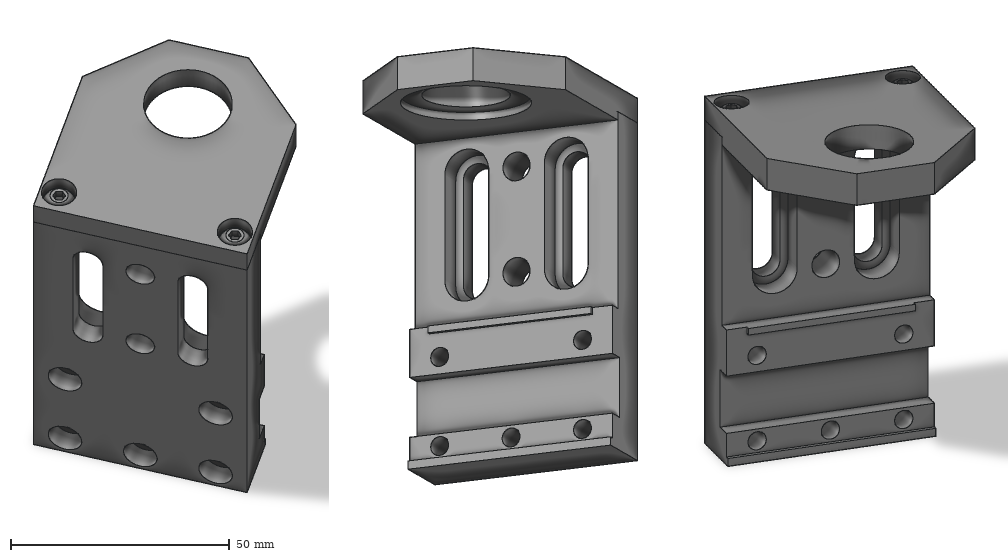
import cadquery as cq
import math

width = 51.0
plate_length = 56.0
height = 86.0

plate_thickness = 7.8
seat_thickness = 5.85
corner_chamfer = 16.0
bore_diameter = 20.3
bore_y = 39.0
bore_rim_thickness = 6.0
underside_recess_diameter = 30.0

wall_thickness = 11.0
wall_height = height - seat_thickness
pad_y = 14.0
lip_y = 15.0
channel_y = 10.0
bottom_lip_top = 2.0
channel_bottom = 7.8
channel_top = 22.0
pad_top = 33.45
top_lip_height = 1.6
top_lip_inset = 5.0

slot_width = 7.1
slot_relief_width = 11.0
slot_front_depth = 5.0
lower_hole_z = 45.0
upper_hole_z = 70.0
slot_x = (upper_hole_z - lower_hole_z) / 2
centre_hole_diameter = 6.8

mount_x = 18.0
mount_lower_z = 4.9
mount_upper_z = 26.1
mount_hole_diameter = 4.5
mount_bore_diameter = 8.0
mount_bore_depth = 5.0
mount_points = [
    (-mount_x, mount_lower_z),
    (0, mount_lower_z),
    (mount_x, mount_lower_z),
    (-mount_x, mount_upper_z),
    (mount_x, mount_upper_z),
]

screw_x = 21.0
screw_y = wall_thickness / 2
screw_points = [(-screw_x, screw_y), (screw_x, screw_y)]
shank_diameter = 4.0
shank_length = 12.0
head_diameter = 7.6
head_height = 2.2
head_top_diameter = 4.1
head_recess_diameter = 8.0
head_recess_depth = 3.4
head_seat_z = height - head_recess_depth
socket_across_flats = 2.5
socket_depth = 1.9
socket_angle = 15.0


def cut_from_front(points, diameter, depth):
    """Round cutters that run from the front face toward +Y."""
    return cq.Workplane("XZ").pushPoints(points).circle(diameter / 2).extrude(-depth)


def screw_holes():
    """Blind holes that the screw shanks fill."""
    return (
        cq.Workplane("XY", origin=(0, 0, head_seat_z))
        .pushPoints(screw_points)
        .circle(shank_diameter / 2)
        .extrude(-shank_length)
    )


def slot_cutter(x, cutter_width, start_y, end_y):
    """Vertical round-ended slot whose end arcs are centred on the two hole heights."""
    centre_distance = upper_hole_z - lower_hole_z
    return (
        cq.Workplane("XZ", origin=(x, start_y, (upper_hole_z + lower_hole_z) / 2))
        .slot2D(centre_distance + cutter_width, cutter_width, 90)
        .extrude(start_y - end_y)
    )


def make_plate():
    """Top plate with clipped rear corners, a bore that is wider at the underside, and screw recesses."""
    plate = (
        cq.Workplane("XY", origin=(0, 0, height - plate_thickness))
        .rect(width, plate_length)
        .extrude(plate_thickness)
        .translate((0, plate_length / 2, 0))
        .edges("|Z and >Y")
        .chamfer(corner_chamfer)
    )
    rabbet = cq.Workplane("XY").box(width, wall_thickness, wall_height, centered=(True, False, False))
    bore = cq.Workplane("XY").center(0, bore_y).circle(bore_diameter / 2).extrude(height)
    underside_recess = (
        cq.Workplane("XY", origin=(0, bore_y, height - bore_rim_thickness))
        .circle(underside_recess_diameter / 2)
        .extrude(bore_rim_thickness - plate_thickness)
    )
    head_recesses = (
        cq.Workplane("XY", origin=(0, 0, head_seat_z))
        .pushPoints(screw_points)
        .circle(head_recess_diameter / 2)
        .extrude(head_recess_depth)
    )
    return plate.cut(rabbet).cut(bore).cut(underside_recess).cut(head_recesses).cut(screw_holes())


def make_wall():
    """Upright wall: a stepped profile extruded across the width, then slotted and drilled."""
    wall = (
        cq.Workplane("YZ", origin=(-width / 2, 0, 0))
        .polyline([
            (0, 0),
            (lip_y, 0),
            (lip_y, bottom_lip_top),
            (pad_y, bottom_lip_top),
            (pad_y, channel_bottom),
            (channel_y, channel_bottom),
            (channel_y, channel_top),
            (pad_y, channel_top),
            (pad_y, pad_top),
            (wall_thickness, pad_top),
            (wall_thickness, wall_height),
            (0, wall_height),
        ])
        .close()
        .extrude(width)
    )
    top_lip = (
        cq.Workplane("XY", origin=(0, wall_thickness, pad_top - top_lip_height))
        .box(width - 2 * top_lip_inset, lip_y - wall_thickness, top_lip_height, centered=(True, False, False))
    )
    wall = wall.union(top_lip)
    for x in (-slot_x, slot_x):
        wall = wall.cut(slot_cutter(x, slot_width, 0, wall_thickness))
        wall = wall.cut(slot_cutter(x, slot_relief_width, slot_front_depth, wall_thickness))
    centre_points = [(0, lower_hole_z), (0, upper_hole_z)]
    wall = wall.cut(cut_from_front(centre_points, centre_hole_diameter, wall_thickness))
    wall = wall.cut(cut_from_front(mount_points, mount_hole_diameter, lip_y))
    wall = wall.cut(cut_from_front(mount_points, mount_bore_diameter, mount_bore_depth))
    return wall.cut(screw_holes())


def make_screw(x, y):
    """Button-head screw with a domed head and a hexagonal socket."""
    head_radius = head_diameter / 2
    head_top_radius = head_top_diameter / 2
    dome_centre = (head_height**2 + head_top_radius**2 - head_radius**2) / (2 * head_height)
    dome_radius = math.hypot(head_radius, dome_centre)
    mid_radius = (head_radius + head_top_radius) / 2
    mid_height = dome_centre + math.sqrt(dome_radius**2 - mid_radius**2)
    screw = (
        cq.Workplane("XZ")
        .moveTo(0, -shank_length)
        .lineTo(shank_diameter / 2, -shank_length)
        .lineTo(shank_diameter / 2, 0)
        .lineTo(head_radius, 0)
        .threePointArc((mid_radius, mid_height), (head_top_radius, head_height))
        .lineTo(0, head_height)
        .close()
        .revolve(360, (0, 0, 0), (0, 1, 0))
    )
    socket_across_corners = socket_across_flats / math.cos(math.pi / 6)
    socket = (
        cq.Workplane("XY", origin=(0, 0, head_height - socket_depth))
        .polygon(6, socket_across_corners)
        .extrude(socket_depth)
        .rotate((0, 0, 0), (0, 0, 1), socket_angle)
    )
    return screw.cut(socket).translate((x, y, head_seat_z))


plate = make_plate()
wall = make_wall()
screws = [make_screw(x, y) for x, y in screw_points]

result = cq.Compound.makeCompound([
    plate.val(),
    wall.val(),
    *[screw.val() for screw in screws],
])